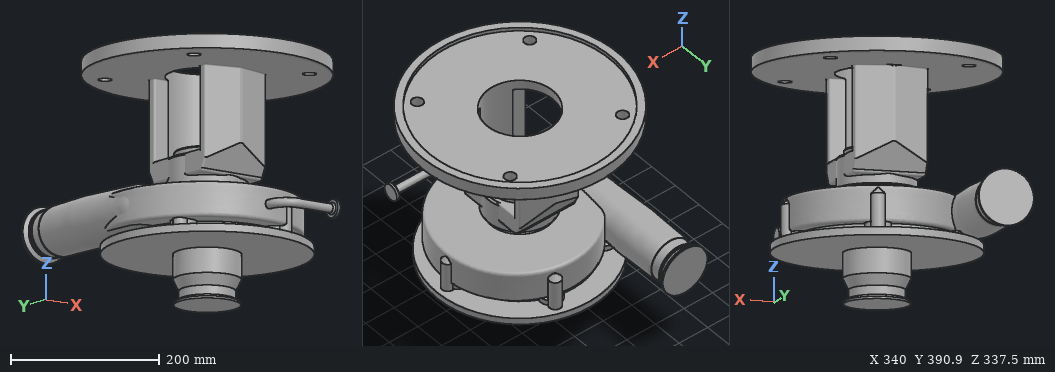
import math

import cadquery as cq


TOTAL_HEIGHT = 337.5
FLANGE_RADIUS = 170.0
FLANGE_THICKNESS = 22.0
FLANGE_EDGE_CHAMFER = 2.0
FLANGE_RECESS_RADIUS = 157.5
FLANGE_RECESS_DEPTH = 6.0
FLANGE_BORE_RADIUS = 57.0
FLANGE_HOLE_DIAMETER = 18.0
FLANGE_HOLE_SPACING = 196.5
FLANGE_BOTTOM_Z = TOTAL_HEIGHT - FLANGE_THICKNESS

BRACKET_HALF_WIDTH = 52.0
BRACKET_SIDE_HALF_DEPTH = 62.0
BRACKET_RIDGE_HALF_DEPTH = 75.0
BRACKET_RIDGE_HALF_WIDTH = 2.0
BRACKET_TAPER_TOP_Z = 211.0
BRACKET_BOTTOM_Z = 168.0
BRACKET_BOTTOM_HALF_DEPTH = 55.8
BRACKET_TAPER_BOTTOM_Z = 173.2
BRACKET_EDGE_RADIUS = 3.0
BRACKET_BOTTOM_RADIUS = 4.5
BRACKET_WELD_RADIUS = 2.0
SELECTION_MARGIN = 0.1
WINDOW_HALF_DEPTH = 49.5
WINDOW_FLOOR_Z = 200.5

HUB_RADIUS = 55.0
HUB_BOTTOM_Z = 157.0
HUB_CHAMFER = 3.0
CAP_RADIUS = 45.0
CAP_TOP_Z = 211.0
CAP_CHAMFER = 2.0
NECK_RADIUS = 46.0
NECK_FLARE_TOP_Z = 153.0

VOLUTE_START_RADIUS = 147.4
VOLUTE_START_ANGLE = 160.0
VOLUTE_GROWTH_PER_DEGREE = 0.097
SPIRAL_STEPS = 24
VOLUTE_BOTTOM_Z = 91.5
VOLUTE_EDGE_RADIUS = 5.0
COVER_INNER_RADIUS = 50.0
COVER_INNER_Z = 148.8
COVER_OUTER_RADIUS = 128.0
COVER_OUTER_Z = 141.5
CORE_RADIUS = 110.0

BASE_RADIUS = 144.5
BASE_BOTTOM_Z = 70.0
BASE_TOP_Z = 81.0
POST_RADIUS = 9.75
POST_TOP_Z = 138.0
POST_CHAMFER = 9.0
POST_COUNT = 5
POST_CIRCLE_RADIUS = 127.2
POST_CIRCLE_X = -1.5
POST_CIRCLE_Y = -0.6
LUG_RADIUS = 18.0
LUG_CIRCLE_RADIUS = POST_CIRCLE_RADIUS - 16.0
LUG_BOTTOM_Z = 83.0

INLET_RADIUS = 46.4
INLET_CONE_TOP_Z = 35.0
INLET_CONE_BOTTOM_Z = 19.5
INLET_END_RADIUS = 38.5
INLET_FERRULE_RADIUS = 45.5
INLET_FERRULE_RIM = 3.0
INLET_FERRULE_HEIGHT = 7.0

DISCHARGE_X = -114.6
DISCHARGE_Z = 118.0
DISCHARGE_END_Y = 210.9
DISCHARGE_DOME_RADIUS = 33.0
DISCHARGE_CONE_RADIUS = 36.8
DISCHARGE_CONE_END_Y = 106.0
DISCHARGE_PIPE_RADIUS = 35.5
DISCHARGE_PIPE_END_Y = 175.0
DISCHARGE_SHOULDER_RADIUS = 34.0
DISCHARGE_SHOULDER_Y = 180.0
DISCHARGE_FOOT_RADIUS = 33.2
DISCHARGE_FOOT_END_Y = 186.5
DISCHARGE_NECK_RADIUS = 32.5
DISCHARGE_BEAD_RADIUS = 33.7
DISCHARGE_BEAD_START_Y = 196.0
DISCHARGE_BEAD_END_Y = 199.0
DISCHARGE_FERRULE_RADIUS = 39.0
DISCHARGE_FERRULE_RIM = 3.0
DISCHARGE_FERRULE_HEIGHT = 7.0

DRAIN_Z = 115.3
DRAIN_RADIUS = 6.4
DRAIN_Y = -167.0
DRAIN_BEND_RADIUS = 28.7
DRAIN_START_Y = -120.0
DRAIN_END_X = 88.0
DRAIN_FERRULE_RADIUS = 13.0
DRAIN_FERRULE_RIM = 4.5
DRAIN_FERRULE_HEIGHT = 7.5
DRAIN_FERRULE_NECK_RADIUS = 8.5


def cylinder(radius, bottom_z, top_z, x=0.0, y=0.0):
    """Upright cylinder between two heights."""
    return cq.Workplane("XY", origin=(x, y, bottom_z)).circle(radius).extrude(top_z - bottom_z)


def motor_flange():
    """Round flange with a recessed top and four bolt holes."""
    flange = cylinder(FLANGE_RADIUS, FLANGE_BOTTOM_Z, TOTAL_HEIGHT)
    flange = flange.faces("<Z").edges().chamfer(FLANGE_EDGE_CHAMFER)
    recess_z = TOTAL_HEIGHT - FLANGE_RECESS_DEPTH
    flange = flange.cut(cylinder(FLANGE_RECESS_RADIUS, recess_z, TOTAL_HEIGHT))
    holes = (
        cq.Workplane("XY", origin=(0, 0, FLANGE_BOTTOM_Z))
        .rect(FLANGE_HOLE_SPACING, FLANGE_HOLE_SPACING, forConstruction=True)
        .vertices()
        .circle(FLANGE_HOLE_DIAMETER / 2)
        .extrude(FLANGE_THICKNESS)
    )
    return flange.cut(holes)


def bracket():
    """Two ridged legs on a cross block, with an open window along X."""
    plan = [
        (BRACKET_HALF_WIDTH, -BRACKET_SIDE_HALF_DEPTH),
        (BRACKET_HALF_WIDTH, BRACKET_SIDE_HALF_DEPTH),
        (BRACKET_RIDGE_HALF_WIDTH, BRACKET_RIDGE_HALF_DEPTH),
        (-BRACKET_RIDGE_HALF_WIDTH, BRACKET_RIDGE_HALF_DEPTH),
        (-BRACKET_HALF_WIDTH, BRACKET_SIDE_HALF_DEPTH),
        (-BRACKET_HALF_WIDTH, -BRACKET_SIDE_HALF_DEPTH),
        (-BRACKET_RIDGE_HALF_WIDTH, -BRACKET_RIDGE_HALF_DEPTH),
        (BRACKET_RIDGE_HALF_WIDTH, -BRACKET_RIDGE_HALF_DEPTH),
    ]
    side = [
        (BRACKET_RIDGE_HALF_DEPTH, FLANGE_BOTTOM_Z),
        (BRACKET_RIDGE_HALF_DEPTH, BRACKET_TAPER_TOP_Z),
        (BRACKET_BOTTOM_HALF_DEPTH, BRACKET_TAPER_BOTTOM_Z),
        (BRACKET_BOTTOM_HALF_DEPTH, BRACKET_BOTTOM_Z),
        (-BRACKET_BOTTOM_HALF_DEPTH, BRACKET_BOTTOM_Z),
        (-BRACKET_BOTTOM_HALF_DEPTH, BRACKET_TAPER_BOTTOM_Z),
        (-BRACKET_RIDGE_HALF_DEPTH, BRACKET_TAPER_TOP_Z),
        (-BRACKET_RIDGE_HALF_DEPTH, FLANGE_BOTTOM_Z),
    ]
    block = (
        cq.Workplane("XY", origin=(0, 0, BRACKET_BOTTOM_Z))
        .polyline(plan)
        .close()
        .extrude(FLANGE_BOTTOM_Z - BRACKET_BOTTOM_Z)
    )
    profile = cq.Workplane("YZ").polyline(side).close().extrude(BRACKET_HALF_WIDTH, both=True)
    window = (
        cq.Workplane("XY", origin=(0, 0, WINDOW_FLOOR_Z))
        .rect(2 * BRACKET_HALF_WIDTH, 2 * WINDOW_HALF_DEPTH)
        .extrude(FLANGE_BOTTOM_Z - WINDOW_FLOOR_Z)
    )
    legs = block.intersect(profile).cut(window)
    legs = legs.faces("<Z").edges().fillet(BRACKET_BOTTOM_RADIUS)
    rounded = legs.faces("<X or >X").edges("not >Z")
    return rounded.fillet(BRACKET_EDGE_RADIUS)


def motor_mount():
    """Flange and bracket welded together and bored down to the window floor."""
    legs = bracket()
    weld_edges = cq.selectors.BoxSelector(
        (-BRACKET_HALF_WIDTH, -BRACKET_RIDGE_HALF_DEPTH, FLANGE_BOTTOM_Z - SELECTION_MARGIN),
        (BRACKET_HALF_WIDTH, BRACKET_RIDGE_HALF_DEPTH, FLANGE_BOTTOM_Z + SELECTION_MARGIN),
    )
    mount = motor_flange().union(legs)
    mount = mount.edges(weld_edges).fillet(BRACKET_WELD_RADIUS)
    return mount.cut(cylinder(FLANGE_BORE_RADIUS, WINDOW_FLOOR_Z, TOTAL_HEIGHT))


def hub():
    """Bearing hub with its cap and the neck down to the casing cover."""
    body = cylinder(HUB_RADIUS, HUB_BOTTOM_Z, WINDOW_FLOOR_Z)
    body = body.faces(">Z").edges().chamfer(HUB_CHAMFER)
    cap = cylinder(CAP_RADIUS, HUB_BOTTOM_Z, CAP_TOP_Z).faces(">Z").edges().chamfer(CAP_CHAMFER)
    neck = cylinder(NECK_RADIUS, COVER_OUTER_Z, HUB_BOTTOM_Z)
    return body.union(cap).union(neck)


def volute_radius(angle):
    """Wall radius at an angle in degrees, shrinking from the discharge round to the cutwater."""
    return VOLUTE_START_RADIUS - VOLUTE_GROWTH_PER_DEGREE * (angle - VOLUTE_START_ANGLE)


def volute_point(turn):
    """Point on the spiral wall; turn runs from 0 to 1 over one revolution."""
    angle = VOLUTE_START_ANGLE + 360.0 * turn
    radius = volute_radius(angle)
    return (radius * math.cos(math.radians(angle)), radius * math.sin(math.radians(angle)))


def volute_casing():
    """Spiral casing with a shallow conical cover and rounded rims."""
    wall_points = [volute_point(step / SPIRAL_STEPS) for step in range(SPIRAL_STEPS + 1)]
    spiral = (
        cq.Workplane("XY", origin=(0, 0, VOLUTE_BOTTOM_Z))
        .spline(wall_points)
        .close()
        .extrude(COVER_INNER_Z - VOLUTE_BOTTOM_Z)
    )
    slope = (COVER_INNER_Z - COVER_OUTER_Z) / (COVER_OUTER_RADIUS - COVER_INNER_RADIUS)
    limit_radius = VOLUTE_START_RADIUS + VOLUTE_EDGE_RADIUS
    limit_z = COVER_INNER_Z - slope * (limit_radius - COVER_INNER_RADIUS)
    cover = (
        cq.Workplane("XZ")
        .moveTo(0, VOLUTE_BOTTOM_Z)
        .lineTo(limit_radius, VOLUTE_BOTTOM_Z)
        .lineTo(limit_radius, limit_z)
        .lineTo(COVER_INNER_RADIUS, COVER_INNER_Z)
        .lineTo(0, COVER_INNER_Z)
        .close()
        .revolve(360, (0, 0, 0), (0, 1, 0))
    )
    casing = spiral.intersect(cover)
    casing = casing.edges("%BSPLINE").fillet(VOLUTE_EDGE_RADIUS)
    flare = (
        cq.Workplane("XZ")
        .moveTo(0, COVER_INNER_Z)
        .lineTo(COVER_INNER_RADIUS, COVER_INNER_Z)
        .lineTo(NECK_RADIUS, NECK_FLARE_TOP_Z)
        .lineTo(0, NECK_FLARE_TOP_Z)
        .close()
        .revolve(360, (0, 0, 0), (0, 1, 0))
    )
    return casing.union(flare)


def posts_and_lugs():
    """Core under the casing, ringed by cone-topped posts, each with a round lug beside it."""
    solids = cylinder(CORE_RADIUS, BASE_TOP_Z, VOLUTE_BOTTOM_Z)
    for index in range(POST_COUNT):
        angle = math.radians(index * 360.0 / POST_COUNT)
        post_x = POST_CIRCLE_X + POST_CIRCLE_RADIUS * math.cos(angle)
        post_y = POST_CIRCLE_Y + POST_CIRCLE_RADIUS * math.sin(angle)
        post = cylinder(POST_RADIUS, BASE_TOP_Z, POST_TOP_Z, post_x, post_y)
        post = post.faces(">Z").edges().chamfer(POST_CHAMFER)
        lug_x = POST_CIRCLE_X + LUG_CIRCLE_RADIUS * math.cos(angle)
        lug_y = POST_CIRCLE_Y + LUG_CIRCLE_RADIUS * math.sin(angle)
        lug = cylinder(LUG_RADIUS, LUG_BOTTOM_Z, VOLUTE_BOTTOM_Z, lug_x, lug_y)
        solids = solids.union(post).union(lug)
    return solids


def base_and_inlet():
    """Round base plate with the reducing inlet pipe and its ferrule."""
    return (
        cq.Workplane("XZ")
        .moveTo(0, 0)
        .lineTo(INLET_FERRULE_RADIUS, 0)
        .lineTo(INLET_FERRULE_RADIUS, INLET_FERRULE_RIM)
        .lineTo(INLET_END_RADIUS, INLET_FERRULE_HEIGHT)
        .lineTo(INLET_END_RADIUS, INLET_CONE_BOTTOM_Z)
        .lineTo(INLET_RADIUS, INLET_CONE_TOP_Z)
        .lineTo(INLET_RADIUS, BASE_BOTTOM_Z)
        .lineTo(BASE_RADIUS, BASE_BOTTOM_Z)
        .lineTo(BASE_RADIUS, BASE_TOP_Z)
        .lineTo(0, BASE_TOP_Z)
        .close()
        .revolve(360, (0, 0, 0), (0, 1, 0))
    )


def discharge_pipe():
    """Domed, tapered pipe with a stepped neck, a bead and a ferrule."""
    dome_side = DISCHARGE_DOME_RADIUS * math.sqrt(0.5)
    ferrule_start = DISCHARGE_END_Y - DISCHARGE_FERRULE_HEIGHT
    ferrule_rim_start = DISCHARGE_END_Y - DISCHARGE_FERRULE_RIM
    return (
        cq.Workplane("XY", origin=(DISCHARGE_X, 0, DISCHARGE_Z))
        .moveTo(0, -DISCHARGE_DOME_RADIUS)
        .threePointArc((dome_side, -dome_side), (DISCHARGE_DOME_RADIUS, 0))
        .lineTo(DISCHARGE_CONE_RADIUS, DISCHARGE_CONE_END_Y)
        .lineTo(DISCHARGE_PIPE_RADIUS, DISCHARGE_PIPE_END_Y)
        .lineTo(DISCHARGE_SHOULDER_RADIUS, DISCHARGE_SHOULDER_Y)
        .lineTo(DISCHARGE_FOOT_RADIUS, DISCHARGE_SHOULDER_Y)
        .lineTo(DISCHARGE_NECK_RADIUS, DISCHARGE_FOOT_END_Y)
        .lineTo(DISCHARGE_NECK_RADIUS, DISCHARGE_BEAD_START_Y)
        .lineTo(DISCHARGE_BEAD_RADIUS, DISCHARGE_BEAD_START_Y)
        .lineTo(DISCHARGE_BEAD_RADIUS, DISCHARGE_BEAD_END_Y)
        .lineTo(DISCHARGE_NECK_RADIUS, DISCHARGE_BEAD_END_Y)
        .lineTo(DISCHARGE_NECK_RADIUS, ferrule_start)
        .lineTo(DISCHARGE_FERRULE_RADIUS, ferrule_rim_start)
        .lineTo(DISCHARGE_FERRULE_RADIUS, DISCHARGE_END_Y)
        .lineTo(0, DISCHARGE_END_Y)
        .close()
        .revolve(360, (0, 0, 0), (0, 1, 0))
    )


def drain_pipe():
    """Bent drain pipe with a ferrule on its end."""
    bend_start_y = DRAIN_Y + DRAIN_BEND_RADIUS
    bend_mid = DRAIN_BEND_RADIUS * (1 - math.sqrt(0.5))
    path = (
        cq.Workplane("XY", origin=(0, 0, DRAIN_Z))
        .moveTo(0, DRAIN_START_Y)
        .lineTo(0, bend_start_y)
        .threePointArc((bend_mid, DRAIN_Y + bend_mid), (DRAIN_BEND_RADIUS, DRAIN_Y))
        .lineTo(DRAIN_END_X, DRAIN_Y)
    )
    pipe = cq.Workplane("XZ", origin=(0, DRAIN_START_Y, DRAIN_Z)).circle(DRAIN_RADIUS).sweep(path)
    ferrule = (
        cq.Workplane("XY", origin=(0, DRAIN_Y, DRAIN_Z))
        .moveTo(DRAIN_END_X, 0)
        .lineTo(DRAIN_END_X, DRAIN_FERRULE_RADIUS)
        .lineTo(DRAIN_END_X - DRAIN_FERRULE_RIM, DRAIN_FERRULE_RADIUS)
        .lineTo(DRAIN_END_X - DRAIN_FERRULE_RIM, DRAIN_FERRULE_NECK_RADIUS)
        .lineTo(DRAIN_END_X - DRAIN_FERRULE_HEIGHT, DRAIN_RADIUS)
        .lineTo(DRAIN_END_X - DRAIN_FERRULE_HEIGHT, 0)
        .close()
        .revolve(360, (0, 0, 0), (1, 0, 0))
    )
    return pipe.union(ferrule)


result = (
    volute_casing()
    .union(base_and_inlet())
    .union(posts_and_lugs())
    .union(discharge_pipe())
    .union(drain_pipe())
    .union(hub())
    .union(motor_mount())
)